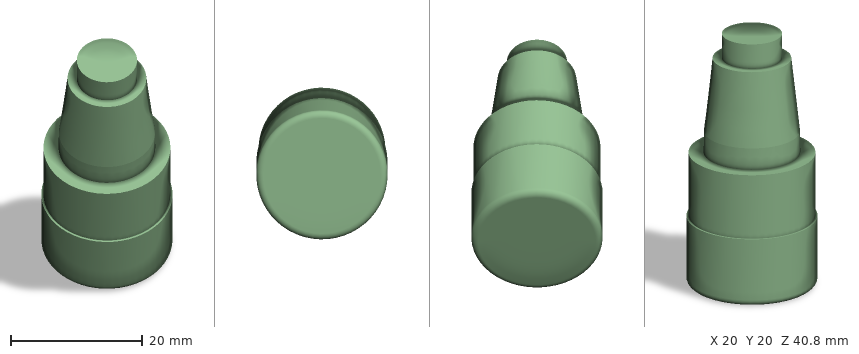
import cadquery as cq

TOTAL_HEIGHT = 40.8

BASE_DIAMETER = 20.0
BASE_HEIGHT = 11.0
BASE_RIM_RADIUS = 1.0

CAP_DIAMETER = 19.35
CAP_SHOULDER_Z = 21.38
COLLAR_BOTTOM_DIAMETER = 14.73
COLLAR_TOP_DIAMETER = 14.65
COLLAR_TOP_Z = 24.85
CONE_TOP_DIAMETER = 12.0
STUB_DIAMETER = 9.2
STUB_HEIGHT = 4.0

CONE_TOP_Z = TOTAL_HEIGHT - STUB_HEIGHT


def make_base():
    """Solid cylinder with its bottom edge rounded."""
    return (
        cq.Workplane("XY")
        .circle(BASE_DIAMETER / 2)
        .extrude(BASE_HEIGHT)
        .faces("<Z")
        .edges()
        .fillet(BASE_RIM_RADIUS)
    )


def make_cap():
    """Revolved drum, slightly tapered collar, cone and end stub."""
    half_profile = [
        (0, BASE_HEIGHT),
        (CAP_DIAMETER / 2, BASE_HEIGHT),
        (CAP_DIAMETER / 2, CAP_SHOULDER_Z),
        (COLLAR_BOTTOM_DIAMETER / 2, CAP_SHOULDER_Z),
        (COLLAR_TOP_DIAMETER / 2, COLLAR_TOP_Z),
        (CONE_TOP_DIAMETER / 2, CONE_TOP_Z),
        (STUB_DIAMETER / 2, CONE_TOP_Z),
        (STUB_DIAMETER / 2, TOTAL_HEIGHT),
        (0, TOTAL_HEIGHT),
    ]
    return cq.Workplane("XZ").polyline(half_profile).close().revolve(360, (0, 0, 0), (0, 1, 0))


base = make_base()
cap = make_cap()

result = cq.Compound.makeCompound([base.val(), cap.val()])